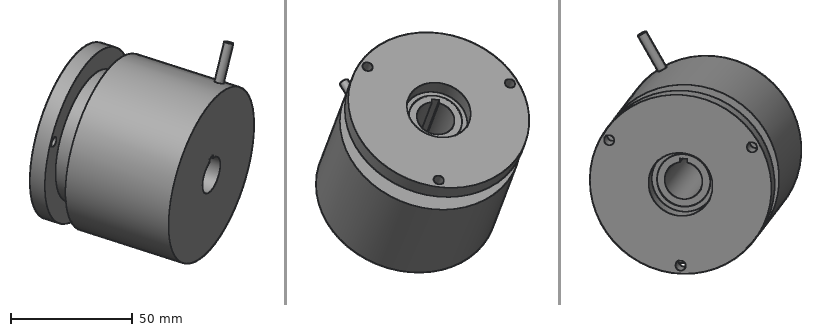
import cadquery as cq
import math

overall_height = 86.9
total_length = 64.5
body_diameter = 76.2
flange_thickness = 7.0
neck_diameter = 57.2
neck_length = 9.6

bore_diameter = 15.8
keyway_width = 3.0
keyway_top = 9.3
recess_diameter = 26.85
recess_depth = flange_thickness
hub_diameter = 22.3
hub_height = 0.7

screw_hole_diameter = 4.3
screw_circle_radius = 34.6
screw_hole_count = 3

pin_diameter = 4.0
pin_position = 58.1
pin_tilt = 30.0

pin_radius = pin_diameter / 2
pin_rise = overall_height - body_diameter / 2
tilt = math.radians(pin_tilt)
pin_tip_radius = (pin_rise - pin_radius * math.sin(tilt)) / math.cos(tilt)
pin_root_radius = body_diameter / 4


def disc(diameter, start, length):
    """Cylinder on the main axis, beginning at X = start."""
    return cq.Workplane("YZ").workplane(offset=start).circle(diameter / 2).extrude(length)


def make_body():
    """Flange and main drum joined by a narrower neck."""
    drum_start = flange_thickness + neck_length
    flange = disc(body_diameter, 0, flange_thickness)
    neck = disc(neck_diameter, 0, total_length)
    drum = disc(body_diameter, drum_start, total_length - drum_start)
    return flange.union(neck).union(drum)


def make_keyed_bore():
    """Through bore with a rectangular keyway at the top."""
    keyway = (
        cq.Workplane("YZ")
        .center(0, keyway_top / 2)
        .rect(keyway_width, keyway_top)
        .extrude(total_length)
    )
    return disc(bore_diameter, 0, total_length).union(keyway)


def make_screw_holes():
    """Evenly spaced holes through the flange, one of them at the bottom."""
    return (
        cq.Workplane("YZ")
        .polarArray(screw_circle_radius, -90, 360, screw_hole_count)
        .circle(screw_hole_diameter / 2)
        .extrude(flange_thickness)
    )


def make_pin():
    """Radial pin rooted inside the drum."""
    direction = cq.Vector(0, math.sin(tilt), math.cos(tilt))
    root = cq.Vector(pin_position, 0, 0) + direction * pin_root_radius
    length = pin_tip_radius - pin_root_radius
    return cq.Workplane(cq.Solid.makeCylinder(pin_radius, length, root, direction))


result = (
    make_body()
    .cut(disc(recess_diameter, 0, recess_depth))
    .union(disc(hub_diameter, recess_depth - hub_height, hub_height))
    .cut(make_keyed_bore())
    .cut(make_screw_holes())
    .union(make_pin())
)